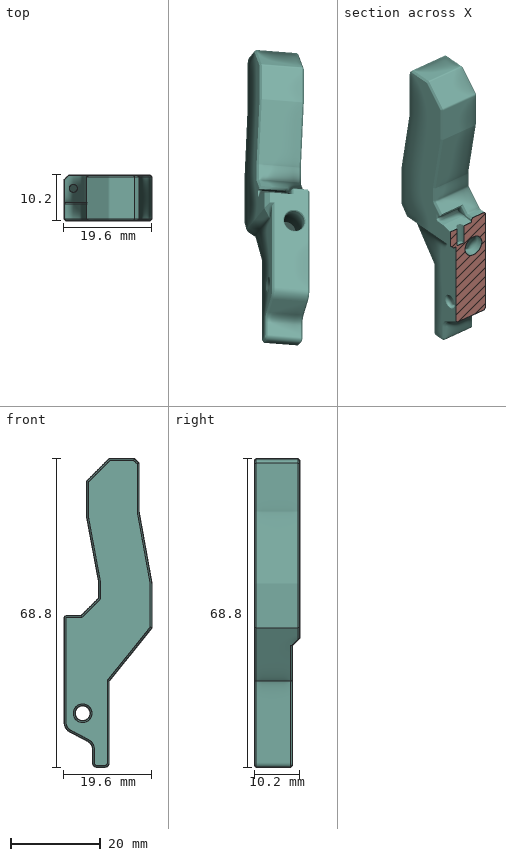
import cadquery as cq

LENGTH = 68.75
WIDTH = 19.6
THICKNESS = 10.2
FOOT_THICKNESS = 8.5
EDGE_CHAMFER = 0.4

LEDGE_Z = 33.75
LEDGE_END_X = 3.8
NECK_X = 7.7
NECK_BOTTOM_Z = LEDGE_Z + NECK_X - LEDGE_END_X
NECK_TOP_Z = 41.2
HEAD_LEFT_X = 5.0
HEAD_LEFT_BOTTOM_Z = 55.6
HEAD_BEVEL = 5.0
HEAD_RIGHT_X = 16.7
HEAD_CORNER = 1.0
HEAD_RIGHT_BOTTOM_Z = 56.9
BEND_TOP_Z = 40.9
BEND_BOTTOM_Z = 31.1
TOE_RIGHT_X = 10.05
TOE_TOP_Z = 19.2
TOE_LEFT_X = 6.3
TOE_SLOPE_TOP_Z = 8.5
TOE_SLOPE_END_Z = 5.2
TOE_ROUND = 0.95
SLOPE_OUTER_ROUND = 2.5
SLOPE_INNER_ROUND = 2.05
CORNER_ROUND = 0.55

STEP_LEFT_Z = 29.9
STEP_RAMP_Z = 27.15
TAB_CHAMFER = 1.0

POCKET_Y = 4.1
POCKET_FLOOR_LEFT_Z = 32.25
POCKET_FLOOR_Z = 33.1
POCKET_FLOOR_BREAK_X = 4.55
POCKET_CEILING_Z = 34.8
POCKET_END_X = 6.9
POCKET_BEVEL = 0.4
LIP_TOP_Z = 35.4
LIP_X = LEDGE_END_X + LIP_TOP_Z - LEDGE_Z
LIP_SETBACK = 0.3

CROSS_HOLE_D = 3.3
CROSS_HOLE_X = 4.1
CROSS_HOLE_Z = 12.0
CROSS_HOLE_CHAMFER = 0.4
SIDE_HOLE_D = 4.7
SIDE_HOLE_Y = 3.5
SIDE_HOLE_Z = 26.05
SIDE_HOLE_DEPTH = 8.25
SIDE_HOLE_CHAMFER = 0.2
TAB_HOLE_D = 1.8
TAB_HOLE_X = 2.05
TAB_HOLE_Y = 7.2
TAB_HOLE_DEPTH = 4.1

TOL = 0.01

ARM_ROUNDS = [
    (0, LEDGE_Z, CORNER_ROUND),
    (LEDGE_END_X, LEDGE_Z, CORNER_ROUND),
    (NECK_X, NECK_BOTTOM_Z, CORNER_ROUND),
    (NECK_X, NECK_TOP_Z, CORNER_ROUND),
    (HEAD_LEFT_X, HEAD_LEFT_BOTTOM_Z, CORNER_ROUND),
    (HEAD_LEFT_X, LENGTH - HEAD_BEVEL, CORNER_ROUND),
    (HEAD_LEFT_X + HEAD_BEVEL, LENGTH, CORNER_ROUND),
]
TOE_ROUNDS = [
    (TOE_RIGHT_X, 0, TOE_ROUND),
    (TOE_LEFT_X, 0, TOE_ROUND),
    (TOE_LEFT_X, TOE_SLOPE_END_Z, SLOPE_INNER_ROUND),
    (0, TOE_SLOPE_TOP_Z, SLOPE_OUTER_ROUND),
]


def prism(points, y_start, y_end):
    """Extrude an XZ outline from y_start to y_end."""
    plane = cq.Workplane("XZ", origin=(0, y_start, 0))
    return plane.polyline(points).close().extrude(y_start - y_end)


def edge_near(x, z):
    """Select the edge along Y at the given outline corner."""
    low = (x - TOL, -TOL, z - TOL)
    high = (x + TOL, THICKNESS + TOL, z + TOL)
    return cq.selectors.BoxSelector(low, high, boundingbox=True)


def plate(thickness, rounds):
    """Full side outline with the given rounded corners and a chamfered front edge."""
    outline = [
        (0, LEDGE_Z),
        (LEDGE_END_X, LEDGE_Z),
        (NECK_X, NECK_BOTTOM_Z),
        (NECK_X, NECK_TOP_Z),
        (HEAD_LEFT_X, HEAD_LEFT_BOTTOM_Z),
        (HEAD_LEFT_X, LENGTH - HEAD_BEVEL),
        (HEAD_LEFT_X + HEAD_BEVEL, LENGTH),
        (HEAD_RIGHT_X - HEAD_CORNER, LENGTH),
        (HEAD_RIGHT_X, LENGTH - HEAD_CORNER),
        (HEAD_RIGHT_X, HEAD_RIGHT_BOTTOM_Z),
        (WIDTH, BEND_TOP_Z),
        (WIDTH, BEND_BOTTOM_Z),
        (TOE_RIGHT_X, TOE_TOP_Z),
        (TOE_RIGHT_X, 0),
        (TOE_LEFT_X, 0),
        (TOE_LEFT_X, TOE_SLOPE_END_Z),
        (0, TOE_SLOPE_TOP_Z),
    ]
    body = prism(outline, 0, thickness)
    for x, z, radius in rounds:
        body = body.edges(edge_near(x, z)).fillet(radius)
    return body.faces("<Y").edges().chamfer(EDGE_CHAMFER)


def foot():
    """Thin lower part, chamfered on both faces."""
    body = plate(FOOT_THICKNESS, TOE_ROUNDS).faces(">Y").edges().chamfer(EDGE_CHAMFER)
    keep = cq.Workplane("XY").box(WIDTH, THICKNESS, STEP_LEFT_Z, centered=False)
    return body.intersect(keep)


def arm():
    """Thick upper part, ending in the 45 degree step and the left tab."""
    right_of_tab = cq.selectors.BoxSelector(
        (LEDGE_END_X + TOL, 0, 0),
        (WIDTH + TOL, THICKNESS + TOL, LENGTH + TOL),
    )
    body = plate(THICKNESS, ARM_ROUNDS).faces(">Y").edges(right_of_tab).chamfer(EDGE_CHAMFER)
    corner = [(0, THICKNESS), (TAB_CHAMFER, THICKNESS), (0, THICKNESS - TAB_CHAMFER)]
    tab_corner = cq.Workplane("XY").polyline(corner).close().extrude(LENGTH)
    under_tab = prism([(0, 0), (STEP_LEFT_Z, 0), (0, STEP_LEFT_Z)], 0, THICKNESS)
    rise = THICKNESS - FOOT_THICKNESS
    ramp_profile = [
        (0, 0),
        (THICKNESS, 0),
        (THICKNESS, STEP_RAMP_Z + rise),
        (FOOT_THICKNESS, STEP_RAMP_Z),
        (0, STEP_RAMP_Z),
    ]
    under_ramp = cq.Workplane("YZ").polyline(ramp_profile).close().extrude(WIDTH)
    return body.cut(tab_corner).cut(under_tab).cut(under_ramp)


def pocket():
    """Pocket with a sloped floor, running under the overhanging lip and out of the back."""
    profile = [
        (0, POCKET_FLOOR_LEFT_Z),
        (POCKET_FLOOR_BREAK_X, POCKET_FLOOR_Z),
        (POCKET_END_X - POCKET_BEVEL, POCKET_FLOOR_Z),
        (POCKET_END_X, POCKET_FLOOR_Z + POCKET_BEVEL),
        (POCKET_END_X, POCKET_CEILING_Z),
        (LIP_X + LIP_SETBACK, POCKET_CEILING_Z),
        (LIP_X, LIP_TOP_Z),
        (0, LIP_TOP_Z),
    ]
    return prism(profile, POCKET_Y, THICKNESS)


def bevel_pocket_mouth(body):
    """Chamfer the left, top and slope edges of the pocket side wall, not its floor edge."""
    mouth = cq.selectors.BoxSelector(
        (-TOL, POCKET_Y - TOL, POCKET_FLOOR_LEFT_Z - TOL),
        (LIP_X + TOL, POCKET_Y + TOL, LIP_TOP_Z + TOL),
        boundingbox=True,
    )
    floor_edge = cq.selectors.BoxSelector(
        (TOL, POCKET_Y - TOL, POCKET_FLOOR_LEFT_Z - TOL),
        (POCKET_FLOOR_BREAK_X + TOL, POCKET_Y + TOL, POCKET_FLOOR_Z + TOL),
    )
    return body.edges(mouth - floor_edge).chamfer(POCKET_BEVEL)


def countersink(plane, diameter, size):
    """45 degree mouth cone, cut against the normal of the plane."""
    mouth = plane.circle(diameter / 2 + size)
    return mouth.extrude(-size, taper=45)


def cross_hole():
    """Through hole along Y, countersunk at the front."""
    drill = cq.Workplane("XZ", origin=(CROSS_HOLE_X, 0, CROSS_HOLE_Z))
    hole = drill.circle(CROSS_HOLE_D / 2).extrude(-THICKNESS)
    return hole.union(countersink(drill, CROSS_HOLE_D, CROSS_HOLE_CHAMFER))


def side_hole():
    """Blind hole from the left side."""
    drill = cq.Workplane("YZ", origin=(0, SIDE_HOLE_Y, SIDE_HOLE_Z)).workplane(invert=True)
    hole = drill.circle(SIDE_HOLE_D / 2).extrude(-SIDE_HOLE_DEPTH)
    return hole.union(countersink(drill, SIDE_HOLE_D, SIDE_HOLE_CHAMFER))


def tab_hole():
    """Blind hole down into the pocket floor."""
    drill = cq.Workplane("XY", origin=(TAB_HOLE_X, TAB_HOLE_Y, POCKET_CEILING_Z))
    depth = POCKET_CEILING_Z - POCKET_FLOOR_LEFT_Z + TAB_HOLE_DEPTH
    return drill.circle(TAB_HOLE_D / 2).extrude(-depth)


result = bevel_pocket_mouth(foot().union(arm()).cut(pocket()))
result = result.cut(cross_hole()).cut(side_hole()).cut(tab_hole())